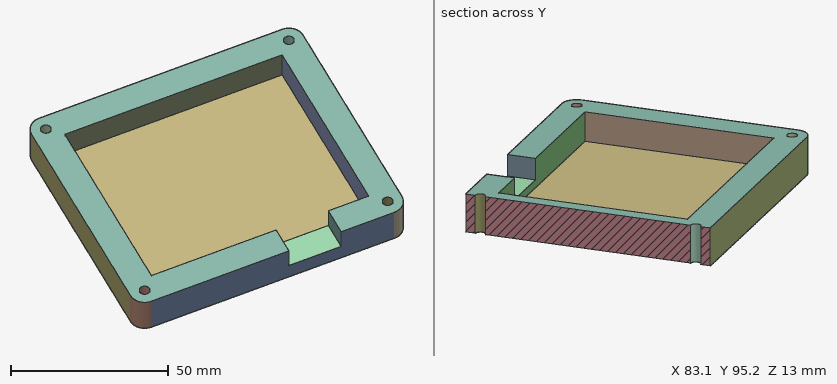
import cadquery as cq

cavity_length_x = 64.1
cavity_length_y = 76.2
rim_width = 9.5
height = 13.0
floor_thickness = 3.0
corner_radius = 5.0

screw_hole_diameter = 3.4

notch_width = 18.3
notch_center_y = 14.8
notch_depth = 7.3

outer_length_x = cavity_length_x + 2 * rim_width
outer_length_y = cavity_length_y + 2 * rim_width
hole_spacing_x = outer_length_x - 2 * corner_radius
hole_spacing_y = outer_length_y - 2 * corner_radius


def make_body():
    """Block with rounded vertical corners, standing on Z = 0."""
    block = cq.Workplane("XY").rect(outer_length_x, outer_length_y).extrude(height)
    return block.edges("|Z").fillet(corner_radius)


def make_cavity():
    """Rectangular pocket, open at the top."""
    return (
        cq.Workplane("XY")
        .workplane(offset=floor_thickness)
        .rect(cavity_length_x, cavity_length_y)
        .extrude(height - floor_thickness)
    )


def make_notch():
    """Slot cut down into the +X rim, from the cavity to the outer side."""
    return (
        cq.Workplane("XY")
        .workplane(offset=height - notch_depth)
        .center((cavity_length_x + rim_width) / 2, notch_center_y)
        .rect(rim_width, notch_width)
        .extrude(notch_depth)
    )


def make_screw_holes():
    """Four through holes, one in each corner."""
    return (
        cq.Workplane("XY")
        .rect(hole_spacing_x, hole_spacing_y, forConstruction=True)
        .vertices()
        .circle(screw_hole_diameter / 2)
        .extrude(height)
    )


result = make_body().cut(make_cavity()).cut(make_notch()).cut(make_screw_holes())